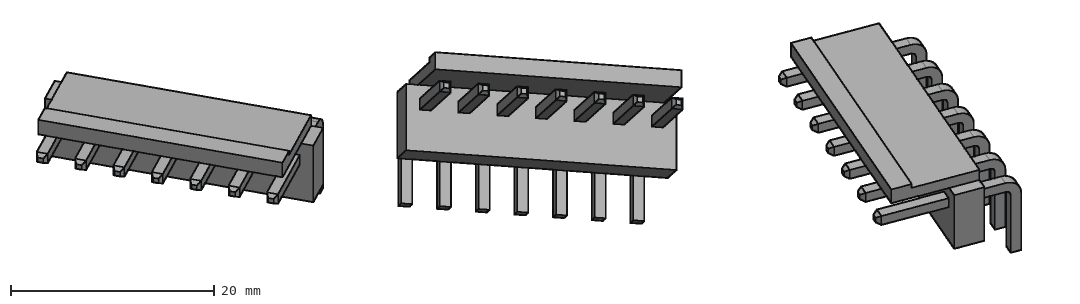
import cadquery as cq

wall_length = 27.65
wall_depth = 3.25
wall_height = 6.75

plate_length = 25.17
plate_depth = 9.43
plate_thickness = 1.27
lip_depth = 2.19
lip_rise = 0.47

pin_count = 7
pin_pitch = 3.95
pin_width = 1.13
pin_center_drop = 1.96
pin_front_reach = 7.7
pin_back_reach = 4.55
tail_drop = 3.6
bend_outer_radius = 1.71
bend_inner_radius = bend_outer_radius - pin_width
tip_length = 0.5
tip_width = 0.55

wall_front = -wall_depth
plate_top = wall_height + plate_thickness
pin_z = wall_height - pin_center_drop
pin_top = pin_z + pin_width / 2
pin_bottom = pin_z - pin_width / 2
shoulder_y = wall_front - pin_front_reach + tip_length


def make_wall():
    """Plain block standing on Z = 0 with its back face at Y = 0."""
    block = cq.Workplane("XY").box(wall_length, wall_depth, wall_height)
    return block.translate((0, wall_front / 2, wall_height / 2))


def make_plate():
    """Roof plate with a raised lip along its front edge."""
    lip_back = lip_depth - plate_depth
    profile = (
        cq.Workplane("YZ")
        .moveTo(0, wall_height)
        .lineTo(-plate_depth, wall_height)
        .lineTo(-plate_depth, plate_top + lip_rise)
        .lineTo(lip_back, plate_top + lip_rise)
        .lineTo(lip_back, plate_top)
        .lineTo(0, plate_top)
        .close()
    )
    return profile.extrude(plate_length / 2, both=True)


def make_pin():
    """Right-angle pin centred on X = 0 with a tapered front tip."""
    tail_front = pin_back_reach - pin_width
    bend_y = pin_back_reach - bend_outer_radius
    bend_z = pin_top - bend_outer_radius
    shaft = (
        cq.Workplane("YZ")
        .moveTo(shoulder_y, pin_top)
        .lineTo(bend_y, pin_top)
        .radiusArc((pin_back_reach, bend_z), bend_outer_radius)
        .lineTo(pin_back_reach, -tail_drop)
        .lineTo(tail_front, -tail_drop)
        .lineTo(tail_front, bend_z)
        .radiusArc((bend_y, pin_bottom), -bend_inner_radius)
        .lineTo(shoulder_y, pin_bottom)
        .close()
        .extrude(pin_width / 2, both=True)
    )
    tip = (
        cq.Workplane("XZ", origin=(0, shoulder_y, pin_z))
        .rect(pin_width, pin_width)
        .workplane(offset=tip_length)
        .rect(tip_width, tip_width)
        .loft(ruled=True)
    )
    return shaft.union(tip)


result = make_wall().union(make_plate())
pin = make_pin()
for index in range(pin_count):
    pin_x = (index - (pin_count - 1) / 2) * pin_pitch
    result = result.union(pin.translate((pin_x, 0, 0)))